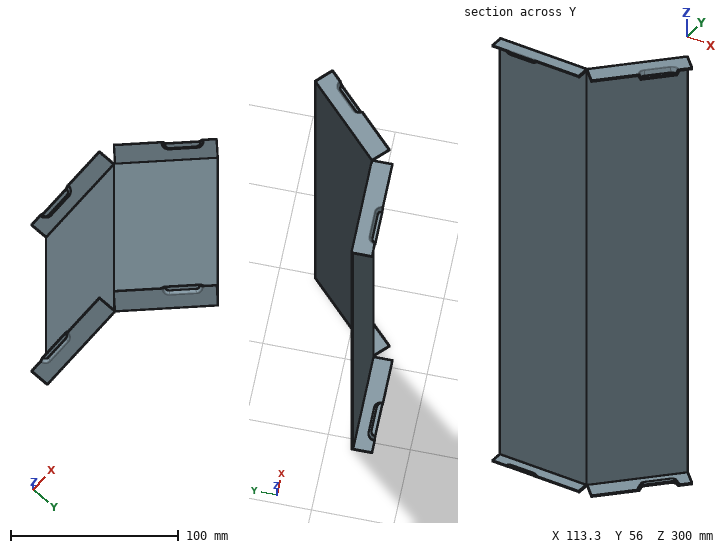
import cadquery as cq
import math

first_length = 61.0
second_length = 61.5
flange_depth = 12.5
height = 300.0
sheet = 1.0
bend_angle = 45.0

relief_width = 24.0
relief_reach = 4.0
relief_depth = 3.0
relief_corner = 4.0
relief_draft = 30.0
rim_radius = 0.5
relief_inset = 20.4

wall_offset = (
    sheet / math.cos(math.radians(relief_draft))
    - sheet * math.tan(math.radians(relief_draft))
)


def sunk_relief(centre_x, top_z, grow):
    """Drafted body of a relief, sinking from top_z and cut flush with the flange edge."""
    width = relief_width + 2 * grow
    reach = relief_reach + grow
    corner = relief_corner + grow
    overhang = 2 * corner
    outline = (
        cq.Sketch()
        .rect(width, reach + overhang)
        .vertices()
        .fillet(corner)
    )
    body = (
        cq.Workplane("XY", origin=(centre_x, (reach - overhang) / 2 - flange_depth, top_z))
        .placeSketch(outline)
        .extrude(-relief_depth, taper=relief_draft)
    )
    inside_edge = cq.Workplane("XY", origin=(centre_x, -flange_depth / 2, 0)).box(
        2 * width, flange_depth, height
    )
    return body.intersect(inside_edge)


def top_flange(length, relief_x):
    """Flange along the top edge of a panel, with its pressed relief."""
    top_z = height / 2
    plate = cq.Workplane("XY", origin=(0, -flange_depth, top_z - sheet)).box(
        length, flange_depth, sheet, centered=False
    )
    shell = sunk_relief(relief_x, top_z - sheet, wall_offset)
    pocket = sunk_relief(relief_x, top_z, 0)
    flange = plate.union(shell).cut(pocket)
    pick_margin = rim_radius / 10
    rim = cq.selectors.BoxSelector(
        (relief_x - relief_width, -flange_depth + pick_margin, top_z - pick_margin),
        (relief_x + relief_width, -flange_depth / 2, top_z + pick_margin),
    )
    return flange.edges(rim).fillet(rim_radius)


def panel(length, relief_x):
    """Upright panel with its back face on y = 0 and a flange at the top and the bottom."""
    web = cq.Workplane("XY", origin=(0, -sheet, 0)).box(
        length, sheet, height, centered=(False, False, True)
    )
    flange = top_flange(length, relief_x)
    return web.union(flange).union(flange.mirror("XY"))


def bend_wedge():
    """Fills the outside of the bend between the front faces of the two panels."""
    turn = math.radians(bend_angle)
    return (
        cq.Workplane("XY")
        .moveTo(first_length, 0)
        .lineTo(first_length, -sheet)
        .lineTo(first_length + sheet * math.tan(turn / 2), -sheet)
        .lineTo(first_length + sheet * math.sin(turn), -sheet * math.cos(turn))
        .close()
        .extrude(height / 2, both=True)
    )


first_panel = panel(first_length, relief_inset)
second_panel = (
    panel(second_length, second_length - relief_inset)
    .rotate((0, 0, 0), (0, 0, 1), bend_angle)
    .translate((first_length, 0, 0))
)
result = first_panel.union(bend_wedge()).union(second_panel).clean()